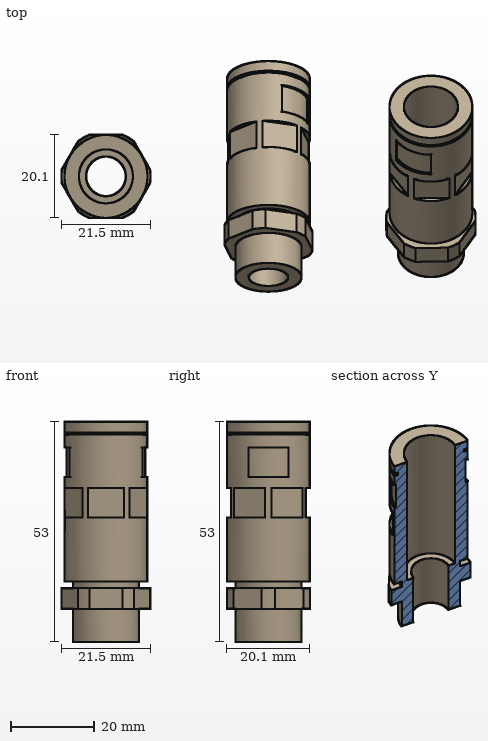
import cadquery as cq

body_diameter = 20.0
neck_diameter = 15.95
groove_diameter = 18.0
nut_corner_diameter = 21.5
nut_across_flats = 20.05
grip_across_flats = 18.0
upper_bore_diameter = 13.0
lower_bore_diameter = 9.5

nut_bottom = 8.0
nut_top = 13.0
body_bottom = 14.5
grip_bottom = 30.0
grip_top = 37.05
window_bottom = 39.75
window_top = 46.85
groove_bottom = 49.85
groove_top = 50.4
total_height = 53.0

window_width = 9.55
window_depth = 0.5


def cylinder(diameter, bottom, top):
    """Cylinder about Z with its seam turned to -Y, clear of the hexagon corners."""
    return (
        cq.Workplane("XY")
        .workplane(offset=bottom)
        .circle(diameter / 2)
        .extrude(top - bottom)
        .rotate((0, 0, 0), (0, 0, 1), -90)
    )


def rounded_hexagon(across_flats, corner_diameter, bottom, top):
    """Hexagon with flats facing Y, its corners trimmed by a cylinder."""
    hexagon = (
        cq.Workplane("XY")
        .workplane(offset=bottom)
        .polygon(6, across_flats, circumscribed=True)
        .extrude(top - bottom)
        .rotate((0, 0, 0), (0, 0, 1), 30)
    )
    return hexagon.intersect(cylinder(corner_diameter, bottom, top))


def side_windows():
    """Pair of opposite recesses with floors concentric to the body."""
    floor_diameter = body_diameter - 2 * window_depth
    ring = cylinder(body_diameter, window_bottom, window_top).cut(
        cylinder(floor_diameter, window_bottom, window_top)
    )
    band = (
        cq.Workplane("XY")
        .workplane(offset=window_bottom)
        .rect(2 * body_diameter, window_width)
        .extrude(window_top - window_bottom)
    )
    return ring.intersect(band)


outer = (
    cylinder(neck_diameter, 0, body_bottom)
    .union(rounded_hexagon(nut_across_flats, nut_corner_diameter, nut_bottom, nut_top))
    .union(cylinder(body_diameter, body_bottom, grip_bottom))
    .union(rounded_hexagon(grip_across_flats, body_diameter, grip_bottom, grip_top))
    .union(cylinder(body_diameter, grip_top, groove_bottom))
    .union(cylinder(groove_diameter, groove_bottom, groove_top))
    .union(cylinder(body_diameter, groove_top, total_height))
)

result = (
    outer.cut(side_windows())
    .cut(cylinder(lower_bore_diameter, 0, total_height))
    .cut(cylinder(upper_bore_diameter, body_bottom, total_height))
)